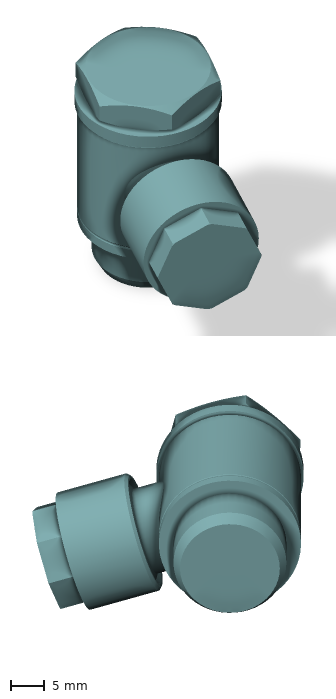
import cadquery as cq
import math


housing_dia = 21.0
housing_half_height = 10.0
housing_chamfer = 0.45
neck_dia = 13.0

upper_washer_dia = 21.8
upper_washer_thickness = 2.0
lower_washer_dia = housing_dia
lower_washer_thickness = 1.55

shank_dia = 16.68
shank_bottom = -19.5
tip_dia = 14.75
tip_length = 1.85
head_top = 16.52
head_corner_dia = upper_washer_dia
head_sides = 6
head_face_dia = 18.55
head_chamfer_angle = 30.0

nut_start = 13.1
nut_round_end = 24.15
overall_length = 38.97
nut_end = overall_length - head_corner_dia / 2
nut_dia = 18.0
nut_rim_dia = 17.1
octagon_sides = 8
octagon_corner_dia = 16.3
octagon_face_dia = 16.0
octagon_chamfer_length = 0.15
mouth_dia = 16.2
mouth_floor_dia = 14.8
mouth_depth = 0.55

head_bottom = housing_half_height + upper_washer_thickness
lower_washer_bottom = -housing_half_height - lower_washer_thickness


def make_washer(outer_dia, thickness, bottom):
    """Flat ring around the bolt shank."""
    ring = cq.Workplane("XY").workplane(offset=bottom).circle(outer_dia / 2).circle(shank_dia / 2)
    return ring.extrude(thickness)


def make_housing():
    """Chamfered sleeve with a round outlet neck, flared to fill the floor of the nut mouth."""
    sleeve = (
        cq.Workplane("XY").workplane(offset=-housing_half_height)
        .circle(housing_dia / 2).extrude(2 * housing_half_height)
        .edges().chamfer(housing_chamfer)
    )
    neck_end = nut_start + mouth_depth
    neck = (
        cq.Workplane("XY")
        .moveTo(0, 0)
        .lineTo(0, neck_dia / 2)
        .lineTo(nut_start, neck_dia / 2)
        .lineTo(neck_end, mouth_floor_dia / 2)
        .lineTo(neck_end, 0)
        .close()
        .revolve(360, (0, 0, 0), (1, 0, 0))
    )
    bore = (
        cq.Workplane("XY").workplane(offset=-housing_half_height)
        .circle(shank_dia / 2).extrude(2 * housing_half_height)
    )
    return sleeve.union(neck).cut(bore)


def make_bolt():
    """Hexagon head, chamfered on both faces, on a shank with a conical tip."""
    head_height = head_top - head_bottom
    face_radius = head_face_dia / 2
    corner_radius = head_corner_dia / 2
    chamfer_height = (corner_radius - face_radius) * math.tan(math.radians(head_chamfer_angle))
    hexagon = (
        cq.Workplane("XY").workplane(offset=head_bottom)
        .polygon(head_sides, head_corner_dia).extrude(head_height)
    )
    head_envelope = (
        cq.Workplane("XZ")
        .moveTo(0, head_bottom)
        .lineTo(face_radius, head_bottom)
        .lineTo(corner_radius, head_bottom + chamfer_height)
        .lineTo(corner_radius, head_top - chamfer_height)
        .lineTo(face_radius, head_top)
        .lineTo(0, head_top)
        .close()
        .revolve(360, (0, 0, 0), (0, 1, 0))
    )
    shank = (
        cq.Workplane("XZ")
        .moveTo(0, head_bottom)
        .lineTo(shank_dia / 2, head_bottom)
        .lineTo(shank_dia / 2, shank_bottom + tip_length)
        .lineTo(tip_dia / 2, shank_bottom)
        .lineTo(0, shank_bottom)
        .close()
        .revolve(360, (0, 0, 0), (0, 1, 0))
    )
    return hexagon.intersect(head_envelope).union(shank)


def make_nut():
    """Round nut with an octagonal end and a conical mouth around the flared housing neck."""
    rim_chamfer = (nut_dia - nut_rim_dia) / 2
    round_part = (
        cq.Workplane("XY")
        .moveTo(nut_start, 0)
        .lineTo(nut_start, nut_rim_dia / 2)
        .lineTo(nut_start + rim_chamfer, nut_dia / 2)
        .lineTo(nut_round_end, nut_dia / 2)
        .lineTo(nut_round_end, 0)
        .close()
        .revolve(360, (0, 0, 0), (1, 0, 0))
    )
    mouth = (
        cq.Workplane("XY")
        .moveTo(nut_start, 0)
        .lineTo(nut_start, mouth_dia / 2)
        .lineTo(nut_start + mouth_depth, mouth_floor_dia / 2)
        .lineTo(nut_start + mouth_depth, 0)
        .close()
        .revolve(360, (0, 0, 0), (1, 0, 0))
    )
    octagon_length = nut_end - nut_round_end
    octagon = (
        cq.Workplane("YZ").workplane(offset=nut_round_end)
        .polygon(octagon_sides, octagon_corner_dia).extrude(octagon_length)
    )
    octagon_envelope = (
        cq.Workplane("XY")
        .moveTo(nut_round_end, 0)
        .lineTo(nut_round_end, octagon_corner_dia / 2)
        .lineTo(nut_end - octagon_chamfer_length, octagon_corner_dia / 2)
        .lineTo(nut_end, octagon_face_dia / 2)
        .lineTo(nut_end, 0)
        .close()
        .revolve(360, (0, 0, 0), (1, 0, 0))
    )
    return round_part.cut(mouth).union(octagon.intersect(octagon_envelope))


housing = make_housing()
bolt = make_bolt()
nut = make_nut()
upper_washer = make_washer(upper_washer_dia, upper_washer_thickness, housing_half_height)
lower_washer = make_washer(lower_washer_dia, lower_washer_thickness, lower_washer_bottom)

result = cq.Compound.makeCompound([
    housing.val(),
    bolt.val(),
    nut.val(),
    upper_washer.val(),
    lower_washer.val(),
])